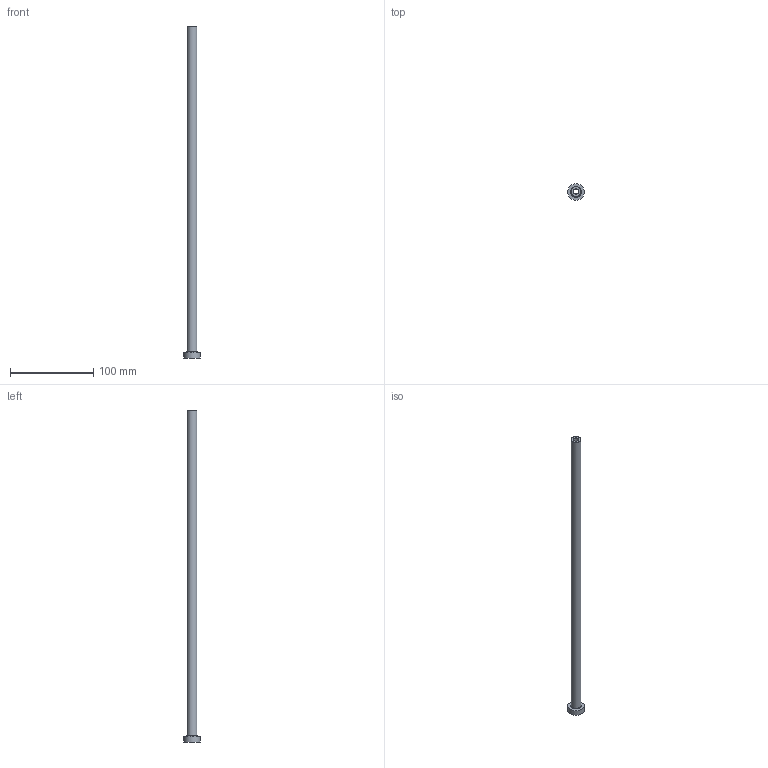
import cadquery as cq

total_length = 400.0
head_diameter = 20.0
head_height = 7.0
shaft_diameter = 12.0
bore_diameter = 6.5
neck_fillet_radius = 0.5


def half_profile():
    """Solid half section in the XZ plane, with a concave fillet where the shaft meets the head."""
    head_radius = head_diameter / 2
    shaft_radius = shaft_diameter / 2
    return (
        cq.Workplane("XZ")
        .moveTo(0, 0)
        .lineTo(head_radius, 0)
        .lineTo(head_radius, head_height)
        .lineTo(shaft_radius + neck_fillet_radius, head_height)
        .radiusArc((shaft_radius, head_height + neck_fillet_radius), neck_fillet_radius)
        .lineTo(shaft_radius, total_length)
        .lineTo(0, total_length)
        .close()
    )


def sleeve_body():
    """Shaft standing on its head, turned about the Z axis."""
    return half_profile().revolve(360, (0, 0, 0), (0, 1, 0))


def through_bore():
    """Cylinder along Z that opens the sleeve from end to end."""
    return cq.Workplane("XY").circle(bore_diameter / 2).extrude(total_length)


result = sleeve_body().cut(through_bore())